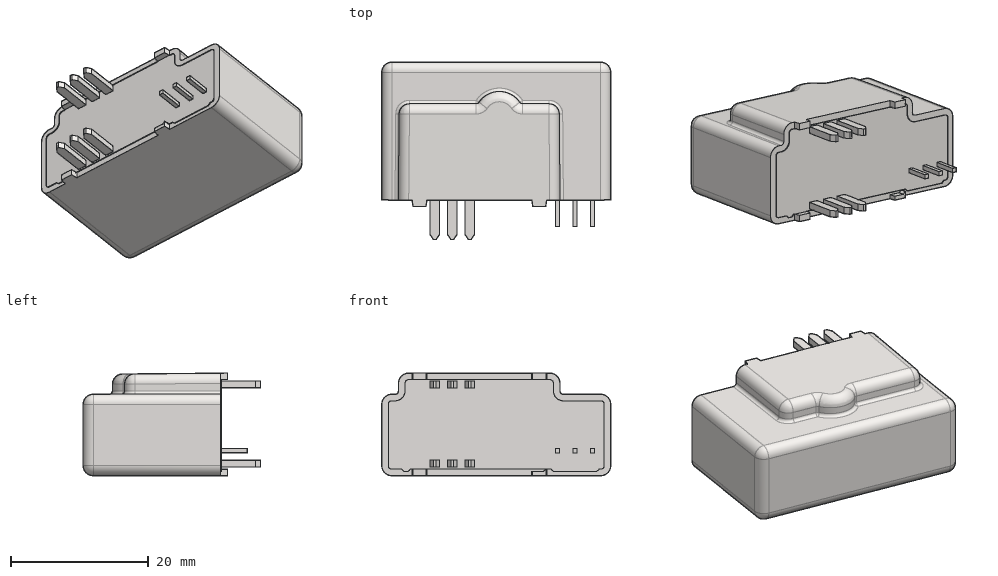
import cadquery as cq
import math


case_width = 33.3
case_depth = 20.0
case_height = 11.86
case_radius = 1.5
wall = 0.97

draft = math.radians(0.5)
step_left = -14.22
step_right = 9.27
step_back = 13.95
step_edge_radius = 1.5
step_corner_radius = 1.51
step_foot_radius = 0.49

bulge_x = 0.46
bulge_y = 12.13
bulge_radius = 3.6
bulge_blend_radius = 0.5

lug_length = 1.0
lug_base_width = 2.2
lug_tip_width = 1.9
lug_centres = (-11.15, 6.25)

overall_height = 14.94

potting_rise = 0.1
potting_corner_radius = 0.5
potting_inner_radius = step_foot_radius + wall
potting_top = overall_height - lug_length * math.tan(draft) - wall
recess_depth = 0.35
recess_spans = ((-13.75, -12.45), (7.95, 14.95))

power_pin_width = 1.4
power_pin_thickness = 1.0
power_pin_length = 5.8
power_pin_tip_width = 0.4
power_pin_taper = 0.75
power_pin_first_x = -8.93
power_pin_rows = (1.77, 13.28)

signal_pin_size = 0.64
signal_pin_length = 3.9
signal_pin_first_x = 8.9
signal_pin_z = 3.66

pin_pitch = 2.54
pins_per_row = 3

trim_allowance = 1.0
selection_margin = 0.01


def box(x_range, y_range, z_range):
    """Box between two limits along each axis."""
    size = [high - low for low, high in (x_range, y_range, z_range)]
    corner = (x_range[0], y_range[0], z_range[0])
    return cq.Workplane("XY").box(*size, centered=False).translate(corner)


def prism(points, z_low, z_high):
    """Upright prism over a plan outline."""
    return cq.Workplane("XY").workplane(offset=z_low).polyline(points).close().extrude(z_high - z_low)


def make_case():
    half = case_width / 2
    block = box((-half, half), (0, case_depth), (0, case_height))
    return block.edges("|Y or >Y").fillet(case_radius)


def top_surface(y):
    """Height of the drafted step top, which falls towards the back."""
    return overall_height - (y + lug_length) * math.tan(draft)


def trim_to_top(solid):
    """Cut away everything above the drafted step top."""
    front = -2 * lug_length
    back = case_depth
    ceiling = 2 * overall_height
    profile = [(front, top_surface(front)), (back, top_surface(back)), (back, ceiling), (front, ceiling)]
    waste = cq.Workplane("YZ").polyline(profile).close().extrude(case_width, both=True)
    return solid.cut(waste)


def make_step():
    base = case_height / 2
    top = overall_height + trim_allowance
    narrowing = step_back * math.tan(draft)
    plan = [
        (step_left, 0),
        (step_right, 0),
        (step_right - narrowing, step_back),
        (step_left + narrowing, step_back),
    ]
    step = prism(plan, base, top).edges("|Z and >Y").fillet(step_corner_radius)
    bulge = cq.Workplane("XY").workplane(offset=base).center(bulge_x, bulge_y)
    step = step.union(bulge.circle(bulge_radius).extrude(top - base))
    near = selection_margin
    junctions = cq.selectors.BoxSelector(
        (bulge_x - bulge_radius, step_back - near, base),
        (bulge_x + bulge_radius, step_back + near, top),
    )
    step = step.edges("|Z").edges(junctions).fillet(bulge_blend_radius)
    step = trim_to_top(step)
    rim = step.faces(">Z").edges("not <Y")
    return rim.fillet(step_edge_radius)


def make_housing():
    """Case and step, with a concave blend around the foot of the step."""
    housing = make_case().union(make_step())
    near = selection_margin
    foot = cq.selectors.BoxSelector(
        (step_left - near, near, case_height - near),
        (step_right + near, case_depth - case_radius - near, case_height + near),
    )
    return housing.edges(foot).fillet(step_foot_radius)


def make_potting():
    """Thin raised face inside the rim, with two shallow recesses in the lower wall."""
    half = case_width / 2 - wall
    y_range = (-potting_rise, wall)
    lower = box((-half, half), y_range, (wall, case_height - wall))
    upper = box((step_left + wall, step_right - wall), y_range, (wall, potting_top))
    potting = lower.union(upper)
    ledge = case_height - wall
    near = selection_margin
    inner = cq.selectors.BoxSelector(
        (step_left + wall - near, -potting_rise, ledge - near),
        (step_right - wall + near, wall, ledge + near),
    )
    potting = potting.edges("|Y").edges(inner).fillet(potting_inner_radius)
    for corner in ("<X", ">X", ">Z"):
        potting = potting.edges("|Y").edges(corner).fillet(potting_corner_radius)
    for left, right in recess_spans:
        floor = wall - recess_depth
        profile = [(left, wall), (left + recess_depth, floor), (right - recess_depth, floor), (right, wall)]
        recess = cq.Workplane("XZ").workplane(offset=-wall).polyline(profile).close()
        potting = potting.union(recess.extrude(wall + potting_rise))
    return potting


def make_lug(centre, z_low, z_high):
    """Stand-off with slightly tapered flanks, rooted in the rim."""
    half_base = lug_base_width / 2
    half_tip = lug_tip_width / 2
    plan = [
        (centre - half_base, wall),
        (centre - half_base, 0),
        (centre - half_tip, -lug_length),
        (centre + half_tip, -lug_length),
        (centre + half_base, 0),
        (centre + half_base, wall),
    ]
    return prism(plan, z_low, z_high)


def make_lugs():
    lugs = cq.Workplane("XY")
    for centre in lug_centres:
        lugs = lugs.add(make_lug(centre, 0, wall))
        lugs = lugs.add(trim_to_top(make_lug(centre, potting_top, overall_height + trim_allowance)))
    return lugs.combine().cut(make_lug_relief())


def make_lug_relief():
    """Shallow cut across the inner face of the lower right lug, sloped at its right end."""
    left = lug_centres[1] - lug_base_width
    right = lug_centres[1] + lug_tip_width / 2
    floor = wall - recess_depth
    profile = [(left, wall), (left, floor), (right - recess_depth, floor), (right, wall)]
    return cq.Workplane("XZ").polyline(profile).close().extrude(lug_length)


def make_power_pin(x, z):
    half = power_pin_width / 2
    half_tip = power_pin_tip_width / 2
    shoulder = power_pin_taper - power_pin_length
    plan = [
        (x - half, wall),
        (x - half, shoulder),
        (x - half_tip, -power_pin_length),
        (x + half_tip, -power_pin_length),
        (x + half, shoulder),
        (x + half, wall),
    ]
    return prism(plan, z - power_pin_thickness / 2, z + power_pin_thickness / 2)


def make_signal_pin(x, z):
    half = signal_pin_size / 2
    return box((x - half, x + half), (-signal_pin_length, wall), (z - half, z + half))


def make_pins():
    pins = cq.Workplane("XY")
    for index in range(pins_per_row):
        offset = index * pin_pitch
        for row in power_pin_rows:
            pins = pins.add(make_power_pin(power_pin_first_x + offset, row))
        pins = pins.add(make_signal_pin(signal_pin_first_x + offset, signal_pin_z))
    return pins.combine()


result = make_housing().union(make_potting()).union(make_lugs()).union(make_pins())